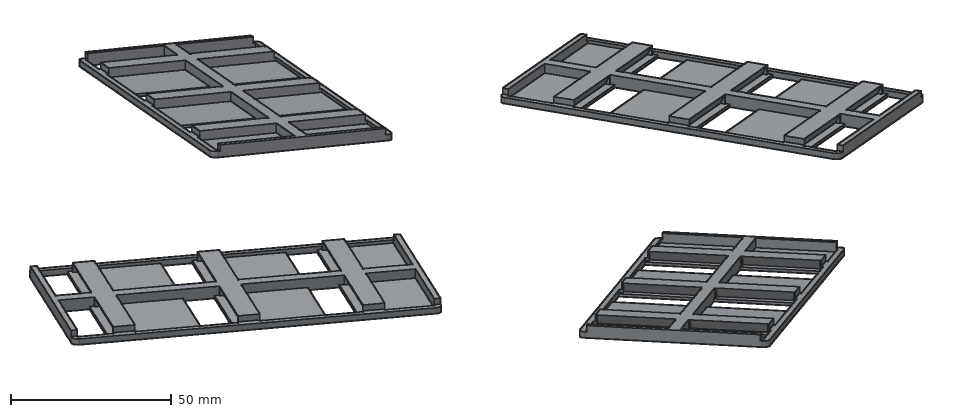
import cadquery as cq

length = 118.5
width = 60.5
base_height = 2.0
total_height = 4.0
corner_radius = 2.0
rim = 2.0

raised_width = 55.3
rib_width = 4.0
bar_width = 7.0

panel_count = 3
panel_pitch = 40.0
panel_length = 30.0
panel_thickness = 1.0
first_panel_start = 12.0
bar_setback = 1.5

undercut_depth = 1.5
undercut_margin = 0.5

left = -length / 2
right = length / 2
inner_width = width - 2 * rim


def block(x_start, x_end, y_size, z_start, z_end):
    """Box centred on Y, given by its X and Z limits."""
    return (
        cq.Workplane("XY", origin=((x_start + x_end) / 2, 0, z_start))
        .rect(x_end - x_start, y_size)
        .extrude(z_end - z_start)
    )


def undercut(bar_start):
    """Wedges removed from a bar so that it leans out over the panel."""
    y_inner = rib_width / 2 + undercut_margin
    y_outer = raised_width / 2 - undercut_margin
    wedge = (
        cq.Workplane("XZ", origin=(0, -y_inner, 0))
        .moveTo(bar_start, total_height)
        .lineTo(bar_start, panel_thickness)
        .lineTo(bar_start + undercut_depth, panel_thickness)
        .close()
        .extrude(y_outer - y_inner)
    )
    return wedge.union(wedge.mirror("XZ"))


frame = cq.Workplane("XY").rect(length, width).extrude(base_height).edges("|Z").fillet(corner_radius)
result = frame.cut(block(left + rim, right - rim, inner_width, 0, base_height))

result = result.union(block(left, left + rim, raised_width, 0, total_height))
result = result.union(block(right - rim, right, raised_width, 0, total_height))
result = result.union(block(left, right, rib_width, 0, total_height))

for index in range(panel_count):
    panel_start = left + first_panel_start + index * panel_pitch
    panel_end = min(panel_start + panel_length, right - rim)
    bar_start = panel_start + bar_setback
    bar_end = bar_start + bar_width
    result = result.union(block(panel_start, panel_end, inner_width, 0, panel_thickness))
    result = result.union(block(bar_start, bar_end, inner_width, 0, base_height))
    result = result.union(block(bar_start, bar_end, raised_width, 0, total_height))
    result = result.cut(undercut(bar_start))